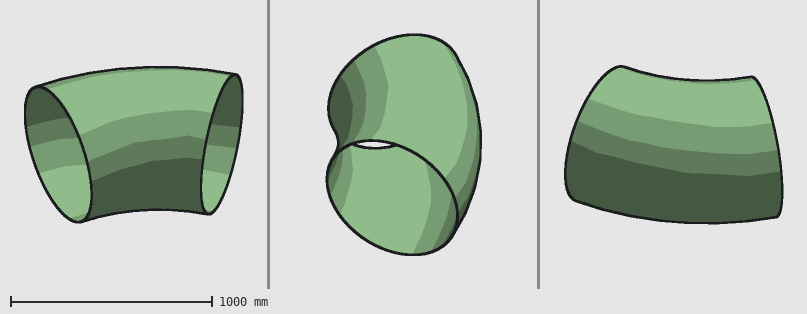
import cadquery as cq
import math

overall_length = 1006.0
bend_angle = 45.0
wall = 4.0
bend_ratio = 1.5

outermost_bend_radius = overall_length / math.sin(math.radians(bend_angle))
outer_diameter = outermost_bend_radius / (bend_ratio + 0.5)
bend_radius = bend_ratio * outer_diameter

outer_radius = outer_diameter / 2
inner_radius = outer_radius - wall

pipe_section = cq.Workplane("XZ").circle(outer_radius).circle(inner_radius)

result = pipe_section.revolve(
    bend_angle,
    axisStart=(bend_radius, 0),
    axisEnd=(bend_radius, -1),
)